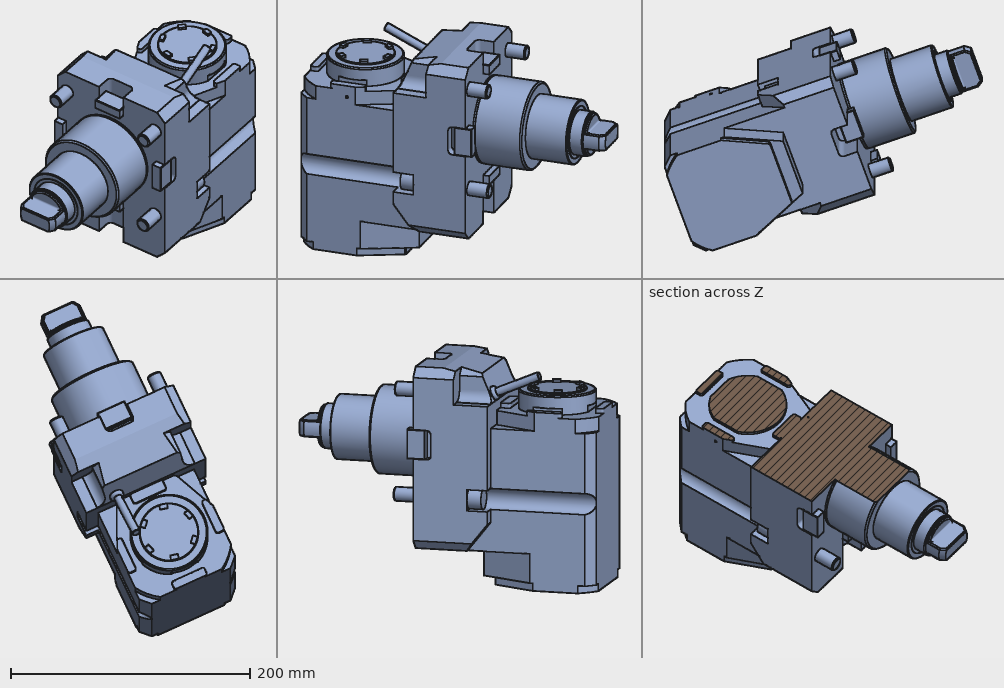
import cadquery as cq
import math


block_width = 110.0
block_top = 65.0
block_bottom = -90.0
block_chamfer = 8.0
plate_depth = 35.0
block_depth = 64.3
roof_start_y = 24.6
roof_end_y = 54.0
roof_end_z = 59.6
rear_wall_top_z = 35.7
belly_slope_z = -65.0
belly_slope_y = 44.4
rear_top_width = 72.0

screw_offset = 45.0
screw_dia = 12.0
screw_head_dia = 18.0
screw_head_height = 12.0
screw_tip_chamfer = 1.0
screw_embed = 1.0
upper_screw_reach = 17.5
lower_screw_reach = 18.5
lower_seat_y = 46.5

key_width = 25.0
key_floor = 46.0
key_outer = 54.5
key_protrusion = 5.5
key_depth = 10.0
key_chamfer = 0.5
keyway_depth = 15.4
keyway_radius = 4.0

housing_width = 88.4
housing_rear = 153.7
housing_top = 15.0
housing_bottom = -115.0
housing_chamfer = 8.0
housing_front_y = 40.0
foot_front_y = 52.8
foot_front_width = 48.4
foot_taper_y = 98.0

axis_y = 109.8
cap_top = 27.0
cap_radius = 52.2
cap_front_y = 64.3
cap_taper_y = 102.2
base_bottom = -121.5
base_radius = 53.4
base_front_y = 63.4
base_taper_y = 100.8
plate_taper = math.radians(24.2)

pad_length = 30.2
pad_inner = 36.8
pad_top = 31.0
pad_fillet = 2.0
cap_hole_dia = 2.1
cap_hole_z = 21.0
cap_hole_depth = 5.0

turret_dia = 65.0
turret_top = 43.2
turret_chamfer = 1.2
turret_flat = 30.0
turret_flat_top = 32.4
disc_dia = 49.5
disc_top = 44.2
disc_chamfer = 0.6
lug_count = 6
lug_first_angle = 17.0
lug_length = 4.7
lug_width = 6.6
lug_top = 46.2

cable_x = 26.2
cable_y = 61.3
cable_z = 41.2
cable_dia = 7.0
cable_length = 43.8
cable_tip_dia = 6.37
gland_dia = 12.0
gland_length = 4.0
gland_fillet = 2.4
gland_embed = 6.0

neck_dia = 74.6
neck_end = 1.8
collar_dia = 75.0
collar_end = 43.4
collar_chamfer = 1.4
barrel_dia = 55.0
barrel_end = 80.0
barrel_chamfer = 0.7
ring_dia = 44.5
ring_depth = 0.5
spindle_dia = 38.0
spindle_end = 90.2
spindle_chamfer = 1.0
tang_dia = 36.0
shoulder_end = 93.7
shoulder_chamfer = 1.2
tang_end = 110.0
tang_thickness = 14.4
tang_taper_length = 4.8
tang_taper = 3.2
tang_chamfer = 1.0
tang_fillet = 1.5


def box(x0, x1, y0, y1, z0, z1):
    """Box between two opposite corners."""
    return cq.Workplane("XY").box(x1 - x0, y1 - y0, z1 - z0, centered=False).translate((x0, y0, z0))


def outboard_box(side, y0, y1, z0, z1):
    """Box from the screw line out to the side face of the block; side is -1 or 1."""
    inner, outer = sorted((side * screw_offset, side * block_width / 2))
    return box(inner, outer, y0, y1, z0, z1)


def y_cylinder(x, z, dia, y0, y1):
    """Cylinder parallel to Y, from y0 to y1."""
    plane = cq.Workplane("XZ", origin=(x, y1, z))
    return plane.circle(dia / 2).extrude(y1 - y0)


def chamfered_bar(width, y0, y1):
    """Bar of the block's height with its four long edges chamfered."""
    bar = box(-width / 2, width / 2, y0, y1, block_bottom, block_top)
    return bar.edges("|Y").chamfer(block_chamfer)


def make_block():
    side_profile = (
        cq.Workplane("YZ")
        .moveTo(0, block_bottom)
        .lineTo(belly_slope_y, block_bottom)
        .lineTo(block_depth, belly_slope_z)
        .lineTo(block_depth, rear_wall_top_z)
        .lineTo(roof_end_y, roof_end_z)
        .lineTo(roof_start_y, block_top)
        .lineTo(0, block_top)
        .close()
        .extrude(block_width / 2, both=True)
    )
    block = side_profile.intersect(chamfered_bar(block_width, 0, block_depth))

    shoulder_room = box(-block_width, block_width, plate_depth, block_depth, screw_offset, block_top)
    block = block.cut(shoulder_room.cut(chamfered_bar(rear_top_width, plate_depth, block_depth)))
    for side in (-1, 1):
        outer_room = outboard_box(side, plate_depth, block_depth, rear_wall_top_z, block_top)
        block = block.cut(outer_room)
        channel = y_cylinder(side * screw_offset, screw_offset, screw_head_dia, plate_depth, block_depth)
        block = block.cut(channel)
    return block


def tapered_slab(front_half, front_y, taper_y, z0, z1):
    """Slab as wide as the housing that narrows from taper_y to front_y."""
    half = housing_width / 2
    return (
        cq.Workplane("XY", origin=(0, 0, z0))
        .polyline([(-half, housing_rear), (-half, taper_y), (-front_half, front_y),
                   (front_half, front_y), (half, taper_y), (half, housing_rear)])
        .close()
        .extrude(z1 - z0)
    )


def rounded_plate(corner_radius, front_y, taper_y, z0, z1):
    """Plate with tapered front sides, its corners rounded by a circle about the turret axis."""
    front_half = housing_width / 2 - (taper_y - front_y) * math.tan(plate_taper)
    plate = tapered_slab(front_half, front_y, taper_y, z0, z1)
    disc = cq.Workplane("XY", origin=(0, axis_y, z0)).circle(corner_radius).extrude(z1 - z0)
    return plate.intersect(disc)


def make_housing():
    half = housing_width / 2
    upper = box(-half, half, housing_front_y, housing_rear, block_bottom, housing_top)
    foot = tapered_slab(foot_front_width / 2, foot_front_y, foot_taper_y, housing_bottom, block_bottom)
    housing = upper.union(foot).edges("|Z and >Y").chamfer(housing_chamfer)
    cap = rounded_plate(cap_radius, cap_front_y, cap_taper_y, housing_top, cap_top)
    base = rounded_plate(base_radius, base_front_y, base_taper_y, base_bottom, housing_bottom)
    return housing.union(cap).union(base)


def make_pads():
    """Four locating pads around the turret, trimmed to the outline of the cap."""
    outline = rounded_plate(cap_radius, cap_front_y, cap_taper_y, housing_top, pad_top)
    side_reach = housing_width / 2
    rear_reach = housing_rear - axis_y
    front_reach = axis_y - cap_front_y
    pads = cq.Workplane("XY")
    for quarter, reach in enumerate((side_reach, rear_reach, side_reach, front_reach)):
        pad = box(pad_inner, reach, -pad_length / 2, pad_length / 2, housing_top, pad_top)
        pad = pad.edges("|Z").fillet(pad_fillet)
        pad = pad.rotate((0, 0, 0), (0, 0, 1), quarter * 90)
        pads = pads.add(pad.translate((0, axis_y, 0)))
    return pads.combine().intersect(outline)


def make_turret():
    def disc(dia, z0, z1):
        return cq.Workplane("XY", origin=(0, axis_y, z0)).circle(dia / 2).extrude(z1 - z0)

    turret = disc(turret_dia, cap_top, turret_top).faces(">Z").chamfer(turret_chamfer)
    reach = turret_dia / 2
    flat = box(turret_flat, reach, -reach, reach, cap_top, turret_flat_top)
    for angle in (0, 90, 180):
        turret = turret.cut(flat.rotate((0, 0, 0), (0, 0, 1), angle).translate((0, axis_y, 0)))
    turret = turret.union(disc(disc_dia, turret_top, disc_top).faces(">Z").chamfer(disc_chamfer))

    lug_outer = disc_dia / 2 - disc_chamfer
    lug_inner = disc_dia / 2 - lug_length
    lug = box(lug_inner, lug_outer, -lug_width / 2, lug_width / 2, disc_top, lug_top)
    lug = lug.intersect(disc(2 * lug_outer, disc_top, lug_top).translate((0, -axis_y, 0)))
    for index in range(lug_count):
        angle = lug_first_angle + index * 360 / lug_count
        turret = turret.union(lug.rotate((0, 0, 0), (0, 0, 1), angle).translate((0, axis_y, 0)))
    return turret


def make_cable():
    wall_run = block_depth - roof_end_y
    wall_rise = roof_end_z - rear_wall_top_z
    plane = cq.Plane(origin=(cable_x, cable_y, cable_z), xDir=(1, 0, 0), normal=(0, wall_rise, wall_run))
    gland = cq.Workplane(plane).workplane(offset=-gland_embed).circle(gland_dia / 2)
    gland = gland.extrude(gland_embed + gland_length).faces(">Y").fillet(gland_fillet)
    cable = cq.Workplane(plane).circle(cable_dia / 2).extrude(cable_length)
    cable = cable.faces(">Y").chamfer((cable_dia - cable_tip_dia) / 2)
    return gland.union(cable)


def make_shank():
    tang_radius = tang_dia / 2
    profile = [
        (0, 0),
        (neck_dia / 2, 0),
        (neck_dia / 2, -neck_end),
        (collar_dia / 2, -neck_end),
        (collar_dia / 2, -collar_end + collar_chamfer),
        (collar_dia / 2 - collar_chamfer, -collar_end),
        (barrel_dia / 2, -collar_end),
        (barrel_dia / 2, -barrel_end + barrel_chamfer),
        (barrel_dia / 2 - barrel_chamfer, -barrel_end),
        (ring_dia / 2, -barrel_end),
        (ring_dia / 2, -barrel_end + ring_depth),
        (spindle_dia / 2, -barrel_end + ring_depth),
        (spindle_dia / 2, -spindle_end),
        (spindle_dia / 2 - spindle_chamfer, -spindle_end - spindle_chamfer),
        (tang_radius, -shoulder_end + shoulder_chamfer),
        (tang_radius - shoulder_chamfer, -shoulder_end),
        (0, -shoulder_end),
    ]
    shank = cq.Workplane("XY").polyline(profile).close().revolve(360, (0, 0, 0), (0, 1, 0))
    shank = shank.union(make_tang())
    root_edges = cq.selectors.BoxSelector(
        (-tang_radius, -shoulder_end - tang_chamfer / 2, -tang_thickness),
        (tang_radius, -shoulder_end + tang_chamfer / 2, tang_thickness),
    )
    return shank.edges("|X").edges(root_edges).fillet(tang_fillet)


def make_tang():
    """Flat driving tang cut from a round bar with a tapered tip."""
    radius = tang_dia / 2
    bar = (
        cq.Workplane("XY")
        .polyline([(0, -spindle_end), (radius, -spindle_end), (radius, -tang_end + tang_taper_length),
                   (radius - tang_taper, -tang_end), (0, -tang_end)])
        .close()
        .revolve(360, (0, 0, 0), (0, 1, 0))
    )
    half = tang_thickness / 2
    tang = bar.intersect(box(-radius, radius, -tang_end, -spindle_end, -half, half))
    return tang.faces("<Z or >Z").edges("not >Y").chamfer(tang_chamfer)


def add_keys(body):
    """Keyways open to the outside on all four sides of the mounting face, each with its key."""
    half = key_width / 2
    keyway = box(key_floor, -block_bottom, 0, keyway_depth, -half, half)
    keyway = keyway.edges("|X and >Y").fillet(keyway_radius)
    key = box(key_floor, key_outer, -key_protrusion, key_depth, -half, half)
    key = key.faces(">X").chamfer(key_chamfer)
    for quarter in range(4):
        angle = quarter * 90
        body = body.cut(keyway.rotate((0, 0, 0), (0, 1, 0), angle))
        body = body.union(key.rotate((0, 0, 0), (0, 1, 0), angle))
    return body


def add_screws(body):
    for side in (-1, 1):
        x = side * screw_offset
        upper = y_cylinder(x, screw_offset, screw_dia, -upper_screw_reach, screw_embed)
        body = body.union(upper.faces("<Y").chamfer(screw_tip_chamfer))

        channel = y_cylinder(x, -screw_offset, screw_head_dia, lower_seat_y, housing_rear)
        head_radius = screw_head_dia / 2
        opening = outboard_box(side, lower_seat_y, housing_rear,
                               -screw_offset - head_radius, -screw_offset + head_radius)
        body = body.cut(channel).cut(opening)
        lower = y_cylinder(x, -screw_offset, screw_dia, -lower_screw_reach, screw_embed)
        body = body.union(lower.faces("<Y").chamfer(screw_tip_chamfer))
        head_end = lower_seat_y + screw_head_height
        body = body.union(y_cylinder(x, -screw_offset, screw_head_dia, lower_seat_y, head_end))
    return body


def drill_cap_hole(body):
    drill = cq.Workplane("YZ", origin=(-housing_width / 2, axis_y, cap_hole_z))
    return body.cut(drill.circle(cap_hole_dia / 2).extrude(cap_hole_depth))


body = make_block().union(make_housing())
body = add_keys(body)
body = body.union(make_shank())
body = add_screws(body)
body = body.union(make_pads()).union(make_turret()).union(make_cable())
result = drill_cap_hole(body)